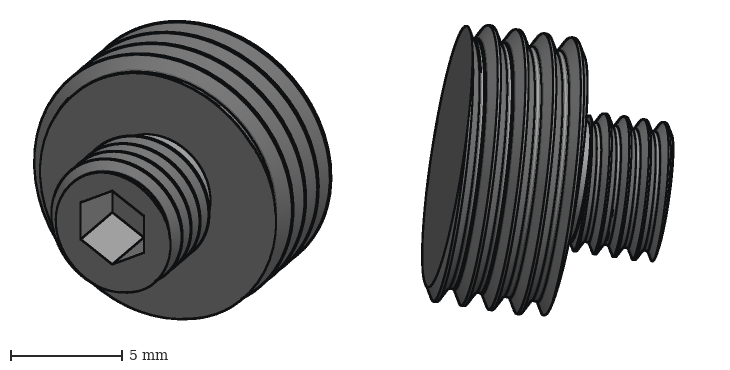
import cadquery as cq
import math

overall_length = 9.89
head_length = 5.37
neck_length = 0.74
stud_thread_length = overall_length - head_length - neck_length

head_major_diameter = 12.7
head_root_diameter = 11.33
head_pitch = 1.27

stud_major_diameter = 6.35
stud_root_diameter = 5.37
stud_pitch = 0.9

crest_flat_ratio = 1 / 8
flank_half_angle = math.radians(30)
crest_offset = 0.03
root_fillet_ratio = 1 / 8
crest_fillet_ratio = 1 / 16
fillet_strips = 2
root_overlap = 0.006

hex_across_flats = 3.18
hex_depth = 3.18


def ridge_half_outline(major_diameter, root_diameter, pitch):
    """(radius, half width) points of a thread ridge, from its sunken foot to its crest."""
    crest_radius = major_diameter / 2
    root_radius = root_diameter / 2
    crest_half = pitch * crest_flat_ratio / 2
    base_half = crest_half + (crest_radius - root_radius) * math.tan(flank_half_angle)
    turn = math.pi / 2 - flank_half_angle
    strip_angles = [turn * step / fillet_strips for step in range(fillet_strips + 1)]

    root_fillet = pitch * root_fillet_ratio
    root_start = base_half + root_fillet * math.tan(turn / 2)
    root_points = [
        (root_radius + root_fillet * (1 - math.cos(angle)), root_start - root_fillet * math.sin(angle))
        for angle in strip_angles
    ]

    crest_fillet = pitch * crest_fillet_ratio
    crest_end = crest_half - crest_fillet * math.tan(turn / 2)
    crest_points = [
        (crest_radius - crest_fillet * (1 - math.cos(angle)), crest_end + crest_fillet * math.sin(angle))
        for angle in reversed(strip_angles)
    ]

    lowest_slope = math.tan(turn / fillet_strips / 2)
    foot = (root_radius - root_overlap, root_start + root_overlap / lowest_slope)
    return [foot] + root_points[1:] + crest_points


def thread_ridge(major_diameter, root_diameter, pitch, length):
    """Right-handed helical ridge around Z that runs past both ends of the threaded length."""
    start = crest_offset - pitch
    height = (math.ceil(length / pitch) + 2) * pitch
    upper_side = ridge_half_outline(major_diameter, root_diameter, pitch)
    lower_side = [(radius, -z) for radius, z in reversed(upper_side)]
    corners = upper_side + lower_side

    edges = [
        cq.Wire.makeHelix(pitch, height, radius).translate(cq.Vector(0, 0, start + z)).Edges()[0]
        for radius, z in corners
    ]
    sides = [cq.Face.makeRuledSurface(edges[i - 1], edges[i]) for i in range(len(edges))]
    caps = []
    for level in (start, start + height):
        points = [cq.Vector(radius, 0, level + z) for radius, z in corners]
        caps.append(cq.Face.makeFromWires(cq.Wire.makePolygon(points, close=True)))
    ridge = cq.Solid.makeSolid(cq.Shell.makeShell(sides + caps))
    return cq.Workplane(obj=ridge).rotate((0, 0, 0), (0, 0, 1), 90)


def threaded_rod(major_diameter, root_diameter, pitch, length):
    """Threaded cylinder from Z = 0 upwards, with the ridge cut flush at both ends."""
    core = cq.Workplane("XY").circle(root_diameter / 2).extrude(length)
    envelope_side = 2 * major_diameter
    envelope = cq.Workplane("XY").rect(envelope_side, envelope_side).extrude(length)
    ridge = thread_ridge(major_diameter, root_diameter, pitch, length)
    return core.union(ridge.intersect(envelope))


stud = threaded_rod(stud_major_diameter, stud_root_diameter, stud_pitch, stud_thread_length)

neck = (
    cq.Workplane("XY")
    .workplane(offset=stud_thread_length)
    .circle(stud_root_diameter / 2)
    .extrude(neck_length)
)

head_start = stud_thread_length + neck_length
head = threaded_rod(head_major_diameter, head_root_diameter, head_pitch, head_length)
head = head.translate((0, 0, head_start))

hex_across_corners = hex_across_flats / math.cos(math.pi / 6)
socket = cq.Workplane("XY").polygon(6, hex_across_corners).extrude(hex_depth)
socket = socket.rotate((0, 0, 0), (0, 0, 1), 30)

screw = stud.union(neck).union(head).cut(socket)

result = screw.rotate((0, 0, 0), (1, 0, 0), -90).translate((0, -head_start, 0))